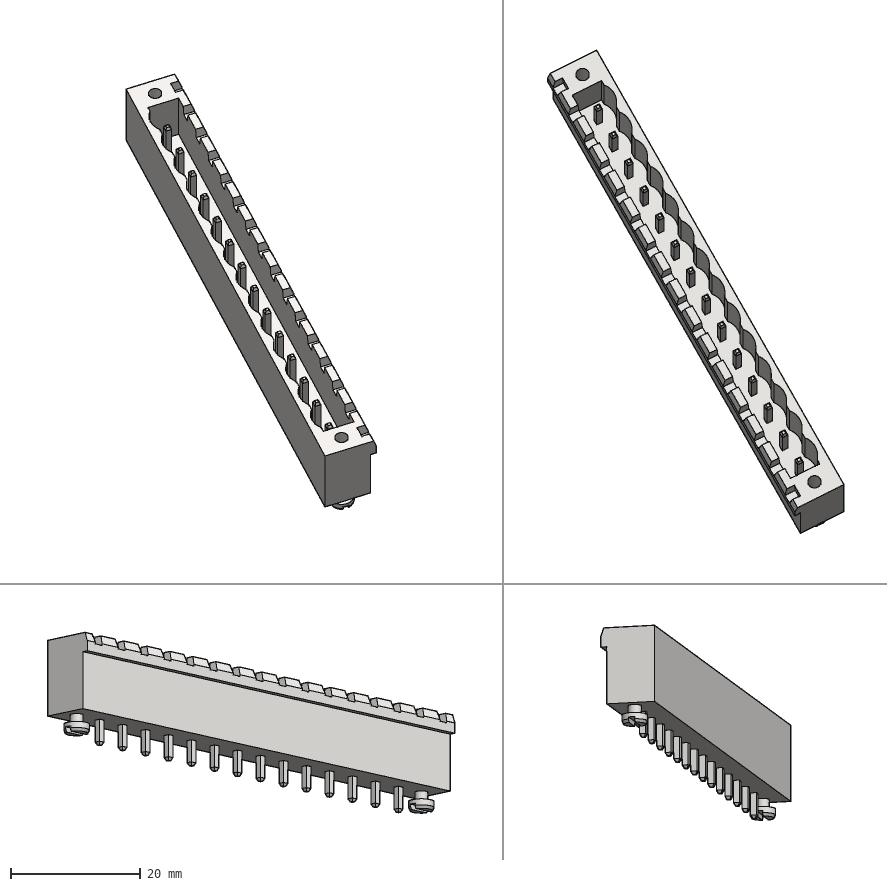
import cadquery as cq


PIN_COUNT = 14
LENGTH = 81.3
STATIONS = PIN_COUNT + 2
PITCH = LENGTH / STATIONS

FRONT_Y = -3.8
DEPTH = 7.6
HEIGHT = 12.0
BACK_Y = FRONT_Y + DEPTH

LIP_REACH = 1.0
LIP_HEIGHT = 3.0
LIP_BEVEL_Y = 0.5
LIP_BEVEL_Z = 1.4

END_WALL = 4.8
BACK_WALL = 0.8
FRONT_WALL = 1.7
POCKET_DEPTH = 8.5
POCKET_LENGTH = LENGTH - 2 * END_WALL
POCKET_FRONT_Y = FRONT_Y + FRONT_WALL
POCKET_BACK_Y = BACK_Y - BACK_WALL
POCKET_FLOOR_Z = HEIGHT - POCKET_DEPTH

SCALLOP_WIDTH = 4.1
SCALLOP_SAG = 0.7

NOTCH_TOP_WIDTH = 1.95
NOTCH_FLOOR_WIDTH = 1.4
NOTCH_DEPTH = 1.6

PIN_WIDTH = 1.0
PIN_TOP_Z = 9.75
PIN_BOTTOM_Z = -4.0
PIN_TIP_BEVEL_WIDTH = 0.25
PIN_TIP_BEVEL_HEIGHT = 0.5

SCREW_DIAMETER = 2.0
HEAD_DIAMETER = 4.0
HEAD_TOP_Z = -1.5
HEAD_BOTTOM_Z = -2.9
HEAD_BEVEL_WIDTH = 0.25
HEAD_BEVEL_HEIGHT = 0.5
SLOT_WIDTH = 1.0
SLOT_DEPTH = 0.8
HOLE_DIAMETER = 2.0
HOLE_DEPTH = POCKET_DEPTH

station_xs = [(i + 0.5) * PITCH - LENGTH / 2 for i in range(STATIONS)]
pin_xs = station_xs[1:-1]
screw_xs = [station_xs[0], station_xs[-1]]
pin_points = [(x, 0) for x in pin_xs]
screw_points = [(x, 0) for x in screw_xs]


def housing_block():
    """Housing cross-section with the bevelled lip, extruded along the row."""
    lip_y = BACK_Y + LIP_REACH
    return (
        cq.Workplane("YZ", origin=(-LENGTH / 2, 0, 0))
        .moveTo(FRONT_Y, 0)
        .lineTo(BACK_Y, 0)
        .lineTo(BACK_Y, HEIGHT - LIP_HEIGHT)
        .lineTo(lip_y, HEIGHT - LIP_HEIGHT)
        .lineTo(lip_y, HEIGHT - LIP_BEVEL_Z)
        .lineTo(lip_y - LIP_BEVEL_Y, HEIGHT)
        .lineTo(FRONT_Y, HEIGHT)
        .close()
        .extrude(LENGTH)
    )


def pocket():
    """Pocket space, scalloped along the front wall."""
    outline = (
        cq.Workplane("XY", origin=(0, 0, POCKET_FLOOR_Z))
        .moveTo(POCKET_LENGTH / 2, POCKET_FRONT_Y)
        .lineTo(POCKET_LENGTH / 2, POCKET_BACK_Y)
        .lineTo(-POCKET_LENGTH / 2, POCKET_BACK_Y)
        .lineTo(-POCKET_LENGTH / 2, POCKET_FRONT_Y)
    )
    for x in pin_xs:
        outline = outline.lineTo(x - SCALLOP_WIDTH / 2, POCKET_FRONT_Y).threePointArc(
            (x, POCKET_FRONT_Y - SCALLOP_SAG), (x + SCALLOP_WIDTH / 2, POCKET_FRONT_Y)
        )
    return outline.close().extrude(POCKET_DEPTH)


def notch(x):
    """Tapered notch across the back wall and the lip."""
    floor_z = HEIGHT - NOTCH_DEPTH
    return (
        cq.Workplane("XZ", origin=(x, POCKET_BACK_Y, 0))
        .moveTo(-NOTCH_FLOOR_WIDTH / 2, floor_z)
        .lineTo(NOTCH_FLOOR_WIDTH / 2, floor_z)
        .lineTo(NOTCH_TOP_WIDTH / 2, HEIGHT)
        .lineTo(-NOTCH_TOP_WIDTH / 2, HEIGHT)
        .close()
        .extrude(-(BACK_WALL + LIP_REACH))
    )


def pin():
    """Square pin with bevelled tips, on the Z axis."""
    tip_width = PIN_WIDTH - 2 * PIN_TIP_BEVEL_WIDTH
    shank_bottom = PIN_BOTTOM_Z + PIN_TIP_BEVEL_HEIGHT
    shank_top = PIN_TOP_Z - PIN_TIP_BEVEL_HEIGHT
    shank = (
        cq.Workplane("XY", origin=(0, 0, shank_bottom))
        .rect(PIN_WIDTH, PIN_WIDTH)
        .extrude(shank_top - shank_bottom)
    )
    tips = [
        cq.Workplane("XY", origin=(0, 0, shank_end))
        .rect(PIN_WIDTH, PIN_WIDTH)
        .workplane(offset=tip_end - shank_end)
        .rect(tip_width, tip_width)
        .loft(ruled=True)
        for shank_end, tip_end in ((shank_bottom, PIN_BOTTOM_Z), (shank_top, PIN_TOP_Z))
    ]
    return shank.union(tips[0]).union(tips[1])


def pins():
    """Row of pins."""
    return cq.Workplane("XY").pushPoints(pin_points).eachpoint(pin().val(), combine=True)


def screws():
    """Slotted screws under the housing, with the slots along the row."""
    shanks = (
        cq.Workplane("XY", origin=(0, 0, HEAD_TOP_Z))
        .pushPoints(screw_points)
        .circle(SCREW_DIAMETER / 2)
        .extrude(-HEAD_TOP_Z)
    )
    radius = HEAD_DIAMETER / 2
    head = (
        cq.Workplane("XZ")
        .moveTo(0, HEAD_BOTTOM_Z)
        .lineTo(radius - HEAD_BEVEL_WIDTH, HEAD_BOTTOM_Z)
        .lineTo(radius, HEAD_BOTTOM_Z + HEAD_BEVEL_HEIGHT)
        .lineTo(radius, HEAD_TOP_Z)
        .lineTo(0, HEAD_TOP_Z)
        .close()
        .revolve(360, (0, 0), (0, 1))
    )
    heads = cq.Workplane("XY").pushPoints(screw_points).eachpoint(head.val(), combine=True)
    slots = (
        cq.Workplane("XY", origin=(0, 0, HEAD_BOTTOM_Z))
        .pushPoints(screw_points)
        .rect(HEAD_DIAMETER, SLOT_WIDTH)
        .extrude(SLOT_DEPTH)
    )
    return shanks.union(heads.cut(slots))


def screw_holes():
    """Blind holes from the top of the housing, in line with the screws."""
    return (
        cq.Workplane("XY", origin=(0, 0, HEIGHT))
        .pushPoints(screw_points)
        .circle(HOLE_DIAMETER / 2)
        .extrude(-HOLE_DEPTH)
    )


housing = housing_block().cut(pocket()).cut(screw_holes())
for station_x in station_xs:
    housing = housing.cut(notch(station_x))

result = housing.union(pins()).union(screws())